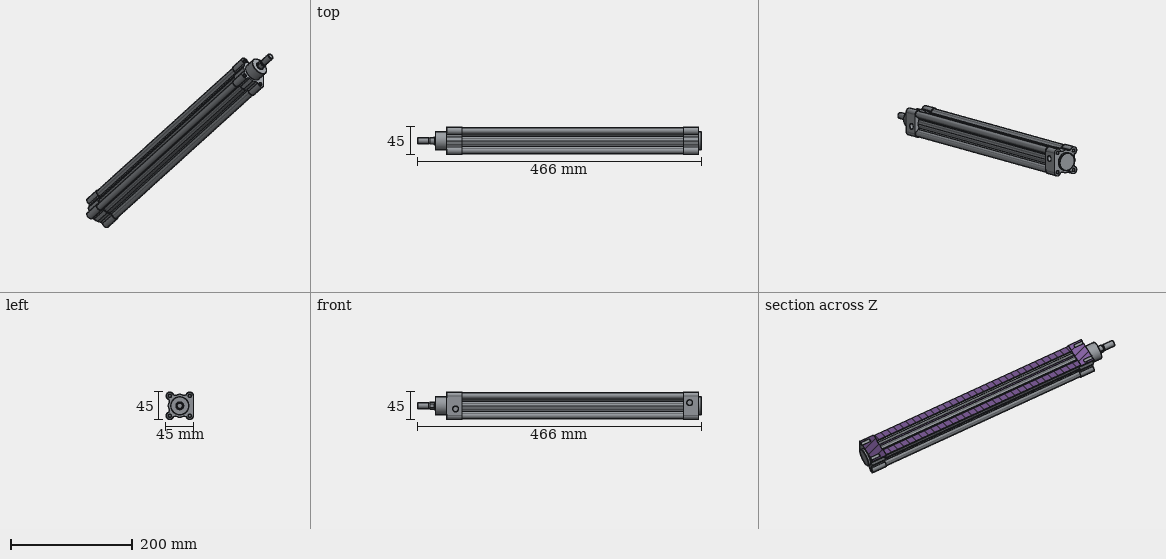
import cadquery as cq
import math


total_length = 466.0
front_cap_start = 48.0
cap_length = 25.0
spigot_length = 4.0
collar_length = 18.0
rear_cap_end = total_length - spigot_length
rear_cap_start = rear_cap_end - cap_length
tube_start = front_cap_start + cap_length
tube_length = rear_cap_start - tube_start
collar_start = front_cap_start - collar_length

cap_width = 45.0
bolt_pitch = 32.5
bolt_offset = bolt_pitch / 2
cap_lobe_radius = cap_width / 2 - bolt_offset
cap_lobe_end_angle = 75.0
cap_crest_foot_height = 17.2
cap_crest_height = 19.5
cap_crest_half_width = 6.5

boss_radius = 15.0
spigot_chamfer = 0.7
collar_chamfer = 0.5

bolt_hole_diameter = 4.5
bolt_hole_depth = 16.0

hole_chamfer = 0.55

port_diameter = 9.0
port_depth = 9.5
port_inset = 15.0
port_height = 5.0

tube_lobe_radius = 5.0
tube_lobe_end_angle = 52.0
tube_core_radius = 16.5
tube_core_half_angle = 26.0
flank_length = 4.5
ridge_half_width = 3.5
ridge_height = 1.0

quarter_turns = (0, 90, 180, 270)

rod_radius = 6.0
tip_radius = 5.0
tip_length = 18.5
undercut_radius = 4.5
shoulder_start = 21.0
tip_chamfer = 1.0
flat_end = 27.5
flat_width = 10.5
ring_radius = 6.5
ring_length = 1.5


def polar(radius, angle, center=(0.0, 0.0)):
    """Point at an angle, in degrees, and a distance from a centre."""
    turn = math.radians(angle)
    return (center[0] + radius * math.cos(turn), center[1] + radius * math.sin(turn))


def rotated(point, angle):
    """Point turned about the cylinder axis by an angle in degrees."""
    turn = math.radians(angle)
    y, z = point
    return (y * math.cos(turn) - z * math.sin(turn), y * math.sin(turn) + z * math.cos(turn))


def mirrored(point):
    """Point reflected across the Y axis of the section."""
    return (point[0], -point[1])


def add_lobe(outline, radius, end_angle, turn):
    """Round corner lobe about a tie bolt, entered by a straight line."""
    center = (bolt_offset, bolt_offset)
    start, middle, end = (
        rotated(polar(radius, angle, center), turn) for angle in (-end_angle, 45.0, 90.0 + end_angle)
    )
    return outline.lineTo(*start).threePointArc(middle, end)


def cap_section(start):
    """Cap outline: four lobes with a shallow crest midway along each side."""
    crest_foot = (cap_crest_foot_height, cap_crest_half_width)
    outline = cq.Workplane("YZ", origin=(start, 0, 0)).moveTo(*mirrored(crest_foot))
    for turn in quarter_turns:
        outline = outline.lineTo(*rotated((cap_crest_height, 0.0), turn)).lineTo(*rotated(crest_foot, turn))
        outline = add_lobe(outline, cap_lobe_radius, cap_lobe_end_angle, turn)
        if turn != quarter_turns[-1]:
            outline = outline.lineTo(*rotated(mirrored(crest_foot), turn + 90))
    return outline.close()


def drill(diameter, depth):
    """Hole shape running along +X from the origin, with a chamfered mouth."""
    radius = diameter / 2
    return (
        cq.Workplane("XY")
        .lineTo(0, radius + hole_chamfer)
        .lineTo(hole_chamfer, radius)
        .lineTo(depth, radius)
        .lineTo(depth, 0)
        .close()
        .revolve(360, (0, 0, 0), (1, 0, 0))
    )


def make_cap(start, port_x, port_z, bolt_face):
    """Cap block with a flat -Y face, an air port and four bolt holes."""
    cap = cap_section(start).extrude(cap_length)
    plate = cq.Workplane("XY").box(cap_length, cap_width / 2, bolt_pitch, centered=(False, False, True))
    cap = cap.union(plate.translate((start, -cap_width / 2, 0)))
    port = drill(port_diameter, port_depth).rotate((0, 0, 0), (0, 0, 1), 90)
    cap = cap.cut(port.translate((port_x, -cap_width / 2, port_z)))
    bolt_hole = drill(bolt_hole_diameter, bolt_hole_depth)
    if bolt_face != start:
        bolt_hole = bolt_hole.mirror("YZ")
    for y in (-bolt_offset, bolt_offset):
        for z in (-bolt_offset, bolt_offset):
            cap = cap.cut(bolt_hole.translate((bolt_face, y, z)))
    return cap


def make_front_cap():
    """Cap at the rod end, with a round collar on its outer face."""
    cap = make_cap(front_cap_start, front_cap_start + port_inset, -port_height, front_cap_start)
    collar = (
        cq.Workplane("YZ", origin=(collar_start, 0, 0))
        .circle(boss_radius)
        .extrude(collar_length)
        .faces("<X")
        .chamfer(collar_chamfer)
    )
    return cap.union(collar)


def make_rear_cap():
    """Cap at the closed end, with a short round spigot on its outer face."""
    cap = make_cap(rear_cap_start, rear_cap_end - port_inset, port_height, rear_cap_end)
    spigot = (
        cq.Workplane("YZ", origin=(rear_cap_end, 0, 0))
        .circle(boss_radius)
        .extrude(spigot_length)
        .faces(">X")
        .chamfer(spigot_chamfer)
    )
    return cap.union(spigot)


def make_tube():
    """Profiled tube: round core, four lobes and a low ridge midway along each side."""
    core_end = polar(tube_core_radius, tube_core_half_angle)
    lobe_end = polar(tube_lobe_radius, -tube_lobe_end_angle, (bolt_offset, bolt_offset))
    groove_edge = polar(flank_length, -tube_lobe_end_angle - 90, lobe_end)
    ridge_angle = math.degrees(math.asin(ridge_half_width / tube_core_radius))
    ridge_foot = polar(tube_core_radius, ridge_angle)
    core_middle = polar(tube_core_radius, (tube_core_half_angle + ridge_angle) / 2)
    ridge_crest = (ridge_foot[0] + ridge_height, 0.0)
    outline = cq.Workplane("YZ", origin=(tube_start, 0, 0)).moveTo(*mirrored(core_end))
    for turn in quarter_turns:
        outline = outline.threePointArc(rotated(mirrored(core_middle), turn), rotated(mirrored(ridge_foot), turn))
        outline = outline.lineTo(*rotated(ridge_crest, turn)).lineTo(*rotated(ridge_foot, turn))
        outline = outline.threePointArc(rotated(core_middle, turn), rotated(core_end, turn))
        outline = outline.lineTo(*rotated(groove_edge, turn))
        outline = add_lobe(outline, tube_lobe_radius, tube_lobe_end_angle, turn)
        outline = outline.lineTo(*rotated(mirrored(groove_edge), turn + 90))
        if turn != quarter_turns[-1]:
            outline = outline.lineTo(*rotated(mirrored(core_end), turn + 90))
    return outline.close().extrude(tube_length)


def make_rod():
    """Rod turned about the X axis, with a slimmer tip, an undercut, two wrench flats and an end ring."""
    rod = (
        cq.Workplane("XY")
        .lineTo(0, tip_radius - tip_chamfer)
        .lineTo(tip_chamfer, tip_radius)
        .lineTo(tip_length, tip_radius)
        .lineTo(tip_length, undercut_radius)
        .lineTo(shoulder_start, undercut_radius)
        .lineTo(shoulder_start, rod_radius)
        .lineTo(collar_start - ring_length, rod_radius)
        .lineTo(collar_start - ring_length, ring_radius)
        .lineTo(collar_start, ring_radius)
        .lineTo(collar_start, 0)
        .close()
        .revolve(360, (0, 0, 0), (1, 0, 0))
    )
    for side in (-1, 1):
        flat = cq.Workplane("XY").box(flat_end, rod_radius, 2 * rod_radius, centered=(False, True, True))
        rod = rod.cut(flat.translate((0, side * (flat_width + rod_radius) / 2, 0)))
    return rod


front_cap = make_front_cap()
rear_cap = make_rear_cap()
tube = make_tube()
rod = make_rod()
result = cq.Compound.makeCompound([front_cap.val(), tube.val(), rear_cap.val(), rod.val()])